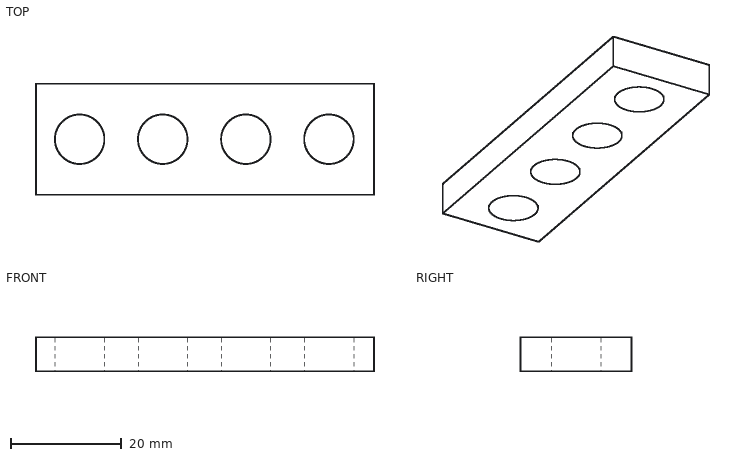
import cadquery as cq

plate_length = 60.96
plate_width = 20.07
plate_thickness = 6.2

hole_count = 4
hole_diameter = 8.89
hole_pitch = 14.986
first_hole_from_end = 7.874


def make_plate():
    """Rectangular plate centred on the origin in X and Y, resting on Z = 0."""
    return cq.Workplane("XY").box(
        plate_length, plate_width, plate_thickness, centered=(True, True, False)
    )


def cut_holes(plate):
    """Cut the evenly spaced holes; the row starts nearer the -X end."""
    first_hole_x = -plate_length / 2 + first_hole_from_end
    centres = [(first_hole_x + index * hole_pitch, 0) for index in range(hole_count)]
    return plate.faces(">Z").workplane(origin=(0, 0, 0)).pushPoints(centres).hole(hole_diameter)


result = cut_holes(make_plate())